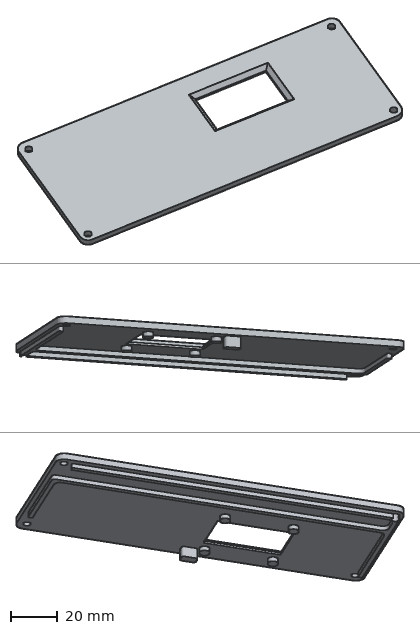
import cadquery as cq

PLATE_X = 63.0
PLATE_Y = 156.5
PLATE_T = 3.0
PLATE_CORNER_R = 4.0

SCREW_D = 3.2
LEFT_SCREW_X = -26.9
LEFT_SCREW_Y = 73.8
RIGHT_SCREW_X = 27.8
RIGHT_SCREW_Y = 74.5

WINDOW_CENTRE = (-9.8, 20.65)
WINDOW_X = 19.7
WINDOW_Y = 34.5
WINDOW_BEVEL = 2.0

WALL_H = 2.1
WALL_T = 2.0
SIDE_WALL_OUTER_X = 28.9
END_WALL_OUTER_Y = PLATE_Y / 2 - 2.0
DIVIDER_OUTER_X = 17.2
FRONT_WALL_LEFT_X = -17.8
BACK_WALL_LEFT_X = -24.5
SIDE_WALL_FRONT_Y = -71.0
INNER_CORNER_R = 2.8
OUTER_CORNER_R = 1.5
WALL_END_R = 0.5

BOSS_D = 4.5
BOSS_PITCH_X = 29.2
BOSS_PITCH_Y = 30.8

POST_CENTRE = (-27.1, -1.0)
POST_X = 4.0
POST_Y = 7.2
POST_H = 4.9
POST_CORNER_R = 1.2


def block_below(x_min, x_max, y_min, y_max, height):
    """Rectangular block hanging from the underside of the plate."""
    return cq.Workplane("XY").box(
        x_max - x_min, y_max - y_min, height, centered=False
    ).translate((x_min, y_min, -height))


def round_upright_edge(body, x, y, radius):
    """Round the one vertical wall edge that stands at (x, y)."""
    reach = WALL_T / 4
    corner_a = (x - reach, y - reach, -WALL_H)
    corner_b = (x + reach, y + reach, 0)
    return body.edges("|Z").edges(cq.selectors.BoxSelector(corner_a, corner_b)).fillet(radius)


def make_plate():
    return (
        cq.Workplane("XY")
        .box(PLATE_X, PLATE_Y, PLATE_T, centered=(True, True, False))
        .edges("|Z")
        .fillet(PLATE_CORNER_R)
    )


def make_window():
    """Straight opening plus the tapered bevel above it."""
    opening = (
        cq.Workplane("XY")
        .center(*WINDOW_CENTRE)
        .rect(WINDOW_X, WINDOW_Y)
        .extrude(PLATE_T)
    )
    bevel = (
        cq.Workplane("XY", origin=(0, 0, PLATE_T - WINDOW_BEVEL))
        .center(*WINDOW_CENTRE)
        .rect(WINDOW_X, WINDOW_Y)
        .workplane(offset=WINDOW_BEVEL)
        .rect(WINDOW_X + 2 * WINDOW_BEVEL, WINDOW_Y + 2 * WINDOW_BEVEL)
        .loft(combine=True)
    )
    return opening.union(bevel)


def make_walls():
    """Front and back end walls joined by a divider, and a side wall joined to the back wall."""
    side_inner_x = SIDE_WALL_OUTER_X - WALL_T
    divider_inner_x = DIVIDER_OUTER_X - WALL_T
    end_inner_y = END_WALL_OUTER_Y - WALL_T

    front = block_below(FRONT_WALL_LEFT_X, DIVIDER_OUTER_X, -END_WALL_OUTER_Y, -end_inner_y, WALL_H)
    back = block_below(BACK_WALL_LEFT_X, SIDE_WALL_OUTER_X, end_inner_y, END_WALL_OUTER_Y, WALL_H)
    divider = block_below(divider_inner_x, DIVIDER_OUTER_X, -END_WALL_OUTER_Y, END_WALL_OUTER_Y, WALL_H)
    side = block_below(side_inner_x, SIDE_WALL_OUTER_X, SIDE_WALL_FRONT_Y, END_WALL_OUTER_Y, WALL_H)
    walls = front.union(back).union(divider).union(side).clean()

    for x, y in (
        (divider_inner_x, -end_inner_y),
        (divider_inner_x, end_inner_y),
        (DIVIDER_OUTER_X, end_inner_y),
        (side_inner_x, end_inner_y),
    ):
        walls = round_upright_edge(walls, x, y, INNER_CORNER_R)

    walls = round_upright_edge(walls, DIVIDER_OUTER_X, -END_WALL_OUTER_Y, OUTER_CORNER_R)

    for x, y_sign in ((FRONT_WALL_LEFT_X, -1), (BACK_WALL_LEFT_X, 1)):
        for y in (end_inner_y, END_WALL_OUTER_Y):
            walls = round_upright_edge(walls, x, y_sign * y, WALL_END_R)

    for x in (side_inner_x, SIDE_WALL_OUTER_X):
        walls = round_upright_edge(walls, x, SIDE_WALL_FRONT_Y, WALL_END_R)
    return walls


def make_bosses():
    return (
        cq.Workplane("XY")
        .center(*WINDOW_CENTRE)
        .rect(BOSS_PITCH_X, BOSS_PITCH_Y, forConstruction=True)
        .vertices()
        .circle(BOSS_D / 2)
        .extrude(-WALL_H)
    )


def make_post():
    return (
        cq.Workplane("XY")
        .center(*POST_CENTRE)
        .rect(POST_X, POST_Y)
        .extrude(-POST_H)
        .edges("|Z")
        .fillet(POST_CORNER_R)
    )


def make_screw_holes():
    """Cutters that run through the plate and any wall below it."""
    centres = [
        (x, y_sign * y)
        for x, y in ((LEFT_SCREW_X, LEFT_SCREW_Y), (RIGHT_SCREW_X, RIGHT_SCREW_Y))
        for y_sign in (-1, 1)
    ]
    return (
        cq.Workplane("XY", origin=(0, 0, -WALL_H))
        .pushPoints(centres)
        .circle(SCREW_D / 2)
        .extrude(WALL_H + PLATE_T)
    )


result = (
    make_plate()
    .cut(make_window())
    .union(make_walls())
    .union(make_bosses())
    .union(make_post())
    .cut(make_screw_holes())
)